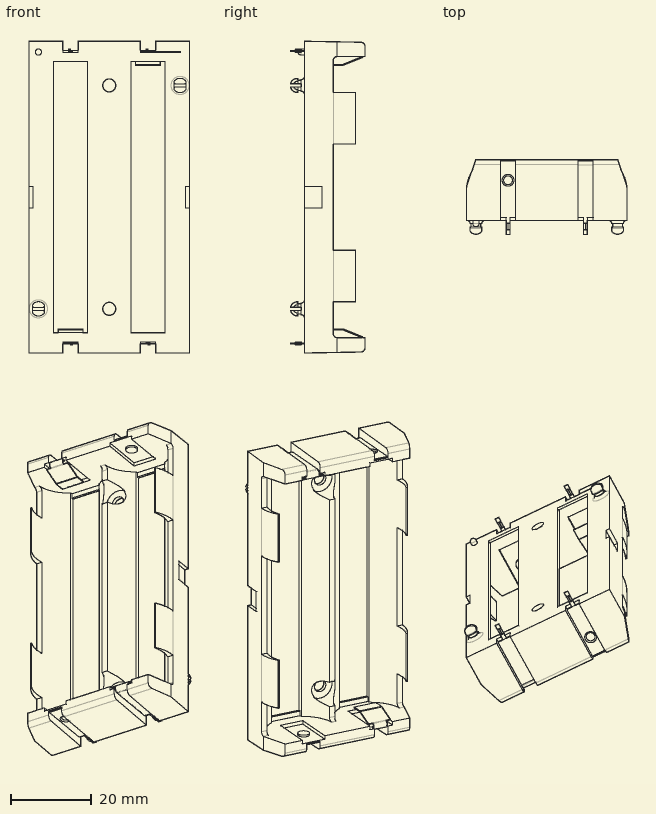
import cadquery as cq
import math


length = 77.05
width = 39.8
height = 15.0
rail_height = 7.2
end_wall = 3.85
inner_fillet = 0.9
back_fillet = 1.15
end_slope_run = 2.3
half_length = length / 2
half_width = width / 2
cavity_end = half_length - end_wall
slope_start = rail_height + inner_fillet
end_draft = 1.0

cell_x = 9.55
cell_y = 9.95
trough_y = 9.2
trough_radius = 9.0
window_width = 8.3
window_end = 33.45
sill_thickness = 0.6

finger_top = 12.6
finger_radius = 9.8
finger_near_end = 13.1
finger_length = 12.8

screw_z = 27.6
screw_diameter = 3.15
screw_head_diameter = 6.6
screw_floor = 1.1
side_notch_length = 5.3
side_notch_height = 4.4
side_notch_depth = 1.0

peg_x = 17.5
collar_diameter = 2.9
collar_height = 0.8
stem_diameter = 2.6
head_radius = 1.8
head_start = 1.6
head_rim = 0.3
head_tip = -3.5
head_flat_width = 2.9
peg_slot = 0.8
locator_z = 35.8
locator_diameter = 1.55
locator_straight = 0.8

strip_width = 3.8
strip_thickness = 0.27
strip_inner = 36.0
strip_outer = strip_inner + strip_thickness
strip_middle = strip_inner + strip_thickness / 2
strip_start = 0.8
strip_top = 14.7
relief_depth = 0.2
slit_end = 17.65
pocket_width = 6.3
pocket_start = 3.8
pocket_floor = 35.6
fold_start = 13.6
tail_width = 1.0
tail_tip = head_tip
tail_bow = 0.27
bow_start = -0.6
bow_end = -2.3
bow_ramp = 0.15
bend_radius = 0.85
leaf_width = 6.2
leaf_end = 6.7
leaf_corner_y = 9.55
leaf_z = 32.7
dimple_diameter = 2.9
dimple_floor_diameter = 1.85
dimple_cone_depth = 0.4
dimple_bowl_depth = 0.5


def block(x0, x1, y0, y1, z0, z1):
    """Box between opposite corners."""
    return cq.Workplane("XY").box(x1 - x0, y1 - y0, z1 - z0, centered=False).translate((x0, y0, z0))


def at_bottom_end(shape):
    """Turn a shape at the top end half a turn about Y, to the other cell at the bottom end."""
    return shape.rotate((0, 0, 0), (0, 1, 0), 180)


def tray():
    """Two rails and a floor joined by two taller end walls."""
    back_half_length = half_length - height * math.tan(math.radians(end_draft))
    body = (
        cq.Workplane("YZ", origin=(-half_width, 0, 0))
        .polyline([
            (0, -half_length),
            (height, -back_half_length),
            (height, back_half_length),
            (0, half_length),
        ])
        .close()
        .extrude(width)
    )
    body = body.cut(block(-half_width, half_width, rail_height, height, -cavity_end, cavity_end))
    for end in (-1, 1):
        corner = (0, rail_height, end * cavity_end)
        body = body.edges(cq.selectors.NearestToPointSelector(corner)).fillet(inner_fillet)
        rim = (0, height, end * back_half_length)
        body = body.edges(cq.selectors.NearestToPointSelector(rim)).fillet(back_fillet)
    for side in (-1, 1):
        wedge = (
            cq.Workplane("XY", origin=(0, 0, -half_length))
            .moveTo(side * half_width, slope_start)
            .lineTo(side * half_width, height)
            .lineTo(side * (half_width - end_slope_run), height)
            .close()
            .extrude(length)
        )
        body = body.cut(wedge)
    return body


def cell_bay(x):
    """Round trough for one cell and the window through its floor, with a thin sill at each end."""
    trough = (
        cq.Workplane("XY", origin=(x, trough_y, -cavity_end)).circle(trough_radius).extrude(2 * cavity_end)
    )
    left = x - window_width / 2
    right = x + window_width / 2
    window = block(left, right, 0, sill_thickness, -window_end, window_end)
    above_sill = block(left, right, sill_thickness, trough_y, -cavity_end, cavity_end)
    below_floor = block(
        x - half_width, x + half_width, -trough_radius, sill_thickness, -cavity_end, cavity_end
    )
    return trough.cut(below_floor).union(window).union(above_sill)


def finger(side, z0):
    """Curved wall on one outer rail, thinning upward between its outer face and the trough."""
    outer = (
        cq.Workplane("XY", origin=(side * (half_width - finger_radius), rail_height, z0))
        .circle(finger_radius)
        .extrude(finger_length)
    )
    trough = (
        cq.Workplane("XY", origin=(side * cell_x, trough_y, z0)).circle(trough_radius).extrude(finger_length)
    )
    near_x, far_x = sorted((side * (cell_x + trough_radius / 2), side * half_width))
    limits = block(near_x, far_x, rail_height, finger_top, z0, z0 + finger_length)
    return outer.cut(trough).intersect(limits)


def screw_hole(z):
    """Through hole with clearance for the screw head cut out of the middle rib."""
    hole = cq.Workplane("XZ", origin=(0, height, z)).circle(screw_diameter / 2).extrude(height)
    head = (
        cq.Workplane("XZ", origin=(0, height, z))
        .circle(screw_head_diameter / 2)
        .extrude(height - screw_floor)
    )
    return hole.union(head)


def side_notch(side):
    """Shallow recess at the middle of one side, open to the board face."""
    notch = block(
        half_width - side_notch_depth, half_width, 0, side_notch_height,
        -side_notch_length / 2, side_notch_length / 2,
    )
    return notch if side > 0 else notch.mirror("YZ")


def snap_peg(x, z):
    """Flared collar, stem and split domed head, pointing away from the board face."""
    collar_radius = collar_diameter / 2
    flare_radius = collar_radius + collar_height
    arc_offset = collar_height * math.sqrt(0.5)
    dome_height = -head_tip - head_start - head_rim
    dome_radius = (head_radius**2 + dome_height**2) / (2 * dome_height)
    peg = (
        cq.Workplane("XY")
        .lineTo(flare_radius, 0)
        .threePointArc((flare_radius - arc_offset, arc_offset - collar_height), (collar_radius, -collar_height))
        .lineTo(stem_diameter / 2, -collar_height)
        .lineTo(stem_diameter / 2, -head_start)
        .lineTo(head_radius, -head_start)
        .lineTo(head_radius, -head_start - head_rim)
        .radiusArc((0, head_tip), dome_radius)
        .close()
        .revolve(360, (0, 0), (0, 1))
    )
    for side in (-1, 1):
        flat = block(0, head_radius, head_tip, -head_start, -head_radius, head_radius)
        flat = flat.translate((head_flat_width / 2, 0, 0))
        if side < 0:
            flat = flat.mirror("YZ")
        peg = peg.cut(flat)
    slot = block(-head_radius, head_radius, head_tip, -collar_height, -peg_slot / 2, peg_slot / 2)
    peg = peg.cut(slot)
    room = half_width - peg_x
    peg = peg.intersect(block(-room, room, head_tip, 0, -flare_radius, flare_radius))
    return peg.translate((x, 0, z))


def locating_peg(x, z):
    """Short round peg with a domed end."""
    radius = locator_diameter / 2
    arc_offset = radius * math.sqrt(0.5)
    peg = (
        cq.Workplane("XY")
        .lineTo(radius, 0)
        .lineTo(radius, -locator_straight)
        .threePointArc((arc_offset, -locator_straight - arc_offset), (0, -locator_straight - radius))
        .close()
        .revolve(360, (0, 0), (0, 1))
    )
    return peg.translate((x, 0, z))


def contact_opening(x):
    """Outer notch, its relief at the board face and the inner pocket, in the top end wall."""
    half_strip = strip_width / 2
    half_pocket = pocket_width / 2
    notch = block(x - half_strip, x + half_strip, 0, height, strip_inner, half_length)
    relief = block(
        x - half_strip, x + half_strip, 0, strip_start, strip_inner - relief_depth, strip_inner
    )
    pocket = block(x - half_pocket, x + half_pocket, pocket_start, height, cavity_end, pocket_floor)
    return notch.union(relief).union(pocket)


def fold_opening(x):
    """Gap over the pocket for the folded top of a spring contact."""
    half_strip = strip_width / 2
    return block(x - half_strip, x + half_strip, fold_start, height, pocket_floor, strip_inner)


def contact_tail(x):
    """Solder tail split lengthwise, one half bowed outward and the other inward."""
    tail = None
    for side in (-1, 1):
        bow = -side * tail_bow
        inner_edge = [
            (strip_start, 0),
            (bow_start, 0),
            (bow_start - bow_ramp, bow),
            (bow_end + bow_ramp, bow),
            (bow_end, 0),
            (tail_tip, 0),
        ]
        outer_edge = [(y, z + strip_thickness) for y, z in reversed(inner_edge)]
        half = (
            cq.Workplane("YZ", origin=(x, 0, strip_inner))
            .polyline(inner_edge + outer_edge)
            .close()
            .extrude(side * tail_width / 2)
        )
        tail = half if tail is None else tail.union(half)
    return tail


def button_contact(x):
    """Flat strip and tail, with a dished button pressed inward on the cell axis."""
    half_strip = strip_width / 2
    strip = block(x - half_strip, x + half_strip, strip_start, strip_top, strip_inner, strip_outer)
    rim = dimple_diameter / 2
    floor = dimple_floor_diameter / 2
    depth = dimple_cone_depth + dimple_bowl_depth
    bowl_radius = (floor**2 + dimple_bowl_depth**2) / (2 * dimple_bowl_depth)
    dish = (
        cq.Workplane("XY")
        .lineTo(rim, 0)
        .lineTo(floor, -dimple_cone_depth)
        .radiusArc((0, -depth), bowl_radius)
        .close()
        .revolve(360, (0, 0), (0, 1))
        .rotate((0, 0, 0), (1, 0, 0), 90)
        .translate((x, cell_y, strip_outer))
    )
    button_end = strip_outer - depth - strip_thickness
    button = (
        cq.Workplane("XY", origin=(x, cell_y, button_end)).circle(rim).extrude(strip_outer - button_end)
    )
    return strip.union(button).cut(dish).union(contact_tail(x))


def spring_contact(x):
    """Strip and tail, folded over the open edge into a wide sloping leaf that presses on the cell."""
    bend_y = strip_top - strip_thickness / 2 - bend_radius
    bend_z = strip_middle - bend_radius
    corner_y = leaf_corner_y - bend_y
    corner_z = leaf_z - bend_z
    corner_angle = math.atan2(corner_y, corner_z) + 2 * math.pi
    bend_angle = corner_angle - math.acos(bend_radius / math.hypot(corner_y, corner_z))

    def on_bend(angle):
        return (bend_y + bend_radius * math.sin(angle), bend_z + bend_radius * math.cos(angle))

    slope_top = on_bend(bend_angle)
    strip_path = (
        cq.Workplane("YZ", origin=(x, 0, 0))
        .moveTo(strip_start, strip_middle)
        .lineTo(bend_y, strip_middle)
        .threePointArc(on_bend(bend_angle / 2), slope_top)
    )
    strip = (
        cq.Workplane("XZ", origin=(x, strip_start, strip_middle))
        .rect(strip_width, strip_thickness)
        .sweep(strip_path)
    )
    leaf_path = (
        cq.Workplane("YZ", origin=(x, 0, 0))
        .moveTo(leaf_end, leaf_z)
        .lineTo(leaf_corner_y, leaf_z)
        .lineTo(*slope_top)
    )
    leaf = (
        cq.Workplane("XZ", origin=(x, leaf_end, leaf_z))
        .rect(leaf_width, strip_thickness)
        .sweep(leaf_path, transition="right")
    )
    return strip.union(leaf).union(contact_tail(x))


def make_housing():
    """Tray with its troughs, fingers and pegs, and the two fixed button contacts."""
    body = tray()
    for side in (-1, 1):
        body = body.cut(cell_bay(side * cell_x))
        for z0 in (-finger_near_end - finger_length, finger_near_end):
            body = body.union(finger(side, z0))
        body = body.cut(screw_hole(side * screw_z))
        body = body.cut(side_notch(side))
        body = body.union(snap_peg(side * peg_x, side * screw_z))
        opening = contact_opening(side * cell_x)
        body = body.cut(opening).cut(at_bottom_end(opening))
    body = body.cut(
        block(cell_x, slit_end, 0, strip_start, strip_inner - relief_depth, strip_inner)
    )
    body = body.union(locating_peg(-peg_x, locator_z))
    fold = fold_opening(cell_x)
    body = body.cut(fold).cut(at_bottom_end(fold))
    button = button_contact(-cell_x)
    return body.union(button).union(at_bottom_end(button))


housing = make_housing()

spring = spring_contact(cell_x)
springs = [spring, at_bottom_end(spring)]

result = cq.Compound.makeCompound([housing.val(), *[contact.val() for contact in springs]])